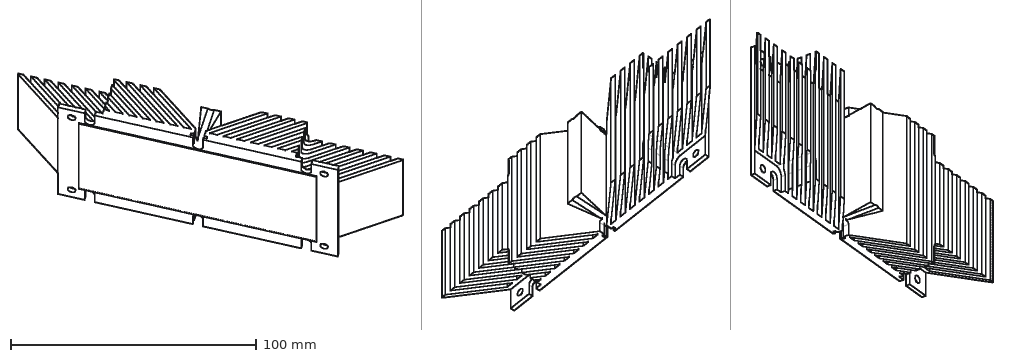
import cadquery as cq
import math

plate_length = 118.3
plate_height = 61.0
plate_thickness = 3.9
flange_thickness = plate_thickness / 2

pad_length = 100.5
pad_height = 45.7
pad_thickness = 0.5

fins_per_side = 11
fin_row_length = 57.8
fin_pitch = fin_row_length / (fins_per_side - 1)
fin_width = 2.6
fin_top = 19.7
fin_angle = 38
overall_length = 162.7

rib_top = 20.3
rib_top_width = 8.5
rib_root_width = 2.3
rib_height = 47.3

clearance_inner_x = 40.8
clearance_gap = 38.9
clearance_inner_z = clearance_gap / 2
clearance_radius = 3.4

notch_width = 4.2
notch_depth = 7.3
side_notch_spacing = 91.6
side_notch_x = side_notch_spacing / 2

hole_diameter = 3.3
hole_x = 53.4
hole_z = 25.4

groove_reach = 1.3
groove_bottom = flange_thickness / 2


def slab(length, height, y_start, y_end):
    """Block centred on X = Z = 0 that spans y_start to y_end."""
    return cq.Workplane("XY").box(length, y_end - y_start, height).translate((0, (y_start + y_end) / 2, 0))


def y_cylinder(diameter, x, z):
    """Round cutter along Y through the whole depth."""
    cylinder = cq.Workplane("XZ").circle(diameter / 2).extrude(-rib_top)
    return cylinder.translate((x, 0, z))


def extrude_along_z(points, height):
    """Closed XY outline extruded symmetrically about Z = 0."""
    return cq.Workplane("XY").polyline(points).close().extrude(height / 2, both=True)


def fin(index, side):
    """Fin number index, counted inwards from the plate end, on side +1 or -1."""
    foot_x = plate_length / 2 - index * fin_pitch
    lean = (fin_top - flange_thickness) / math.tan(math.radians(fin_angle))
    tip_x = foot_x + lean
    outline = [
        (side * (foot_x - fin_width), flange_thickness),
        (side * foot_x, flange_thickness),
        (side * tip_x, fin_top),
        (side * (tip_x - fin_width), fin_top),
    ]
    return extrude_along_z(outline, plate_height)


def centre_rib():
    """Rib that widens away from the plate, rooted in the plate."""
    outline = [
        (-rib_root_width / 2, flange_thickness),
        (rib_root_width / 2, flange_thickness),
        (rib_root_width / 2, plate_thickness),
        (rib_top_width / 2, rib_top),
        (-rib_top_width / 2, rib_top),
        (-rib_root_width / 2, plate_thickness),
    ]
    return extrude_along_z(outline, rib_height)


def corner_clearance(side_x, side_z):
    """Cutter above one mounting flange, rounded at its inner corner."""
    length = overall_length / 2 - clearance_inner_x
    height = plate_height / 2 - clearance_inner_z
    depth = rib_top - flange_thickness
    cutter = cq.Workplane("XY").box(length, depth, height, centered=False)
    cutter = cutter.edges("|Y and <X and <Z").fillet(clearance_radius)
    cutter = cutter.translate((clearance_inner_x, flange_thickness, clearance_inner_z))
    if side_x < 0:
        cutter = cutter.mirror("YZ")
    if side_z < 0:
        cutter = cutter.mirror("XY")
    return cutter


def edge_notch(x, side_z):
    """Cutter for a round-ended notch through the whole depth at a long edge."""
    radius = notch_width / 2
    edge_z = plate_height / 2
    centre_z = edge_z - notch_depth + radius
    straight = slab(notch_width, edge_z - centre_z, 0, rib_top)
    straight = straight.translate((x, 0, side_z * (edge_z + centre_z) / 2))
    return straight.union(y_cylinder(notch_width, x, side_z * centre_z))


def centre_groove(side):
    """Cutter for one groove that runs the full height of the plate."""
    inner_x = notch_width / 2
    groove = slab(groove_reach, plate_height, groove_bottom, flange_thickness)
    return groove.translate((side * (inner_x + groove_reach / 2), 0, 0))


def make_heat_sink():
    """Plate, fins and centre rib as one body, with every cut made."""
    body = slab(plate_length, plate_height, 0, plate_thickness)
    for side in (-1, 1):
        for index in range(fins_per_side):
            body = body.union(fin(index, side))
    body = body.intersect(slab(overall_length, plate_height, 0, fin_top))

    for side_x in (-1, 1):
        for side_z in (-1, 1):
            body = body.cut(corner_clearance(side_x, side_z))
            body = body.cut(y_cylinder(hole_diameter, side_x * hole_x, side_z * hole_z))

    body = body.union(centre_rib())
    for side_z in (-1, 1):
        for x in (-side_notch_x, 0, side_notch_x):
            body = body.cut(edge_notch(x, side_z))
    for side in (-1, 1):
        body = body.cut(centre_groove(side))
    return body


def make_thermal_pad():
    """Thin sheet lying against the mounting face."""
    return slab(pad_length, pad_height, -pad_thickness, 0)


heat_sink = make_heat_sink()
thermal_pad = make_thermal_pad()
result = cq.Compound.makeCompound([heat_sink.val(), thermal_pad.val()])